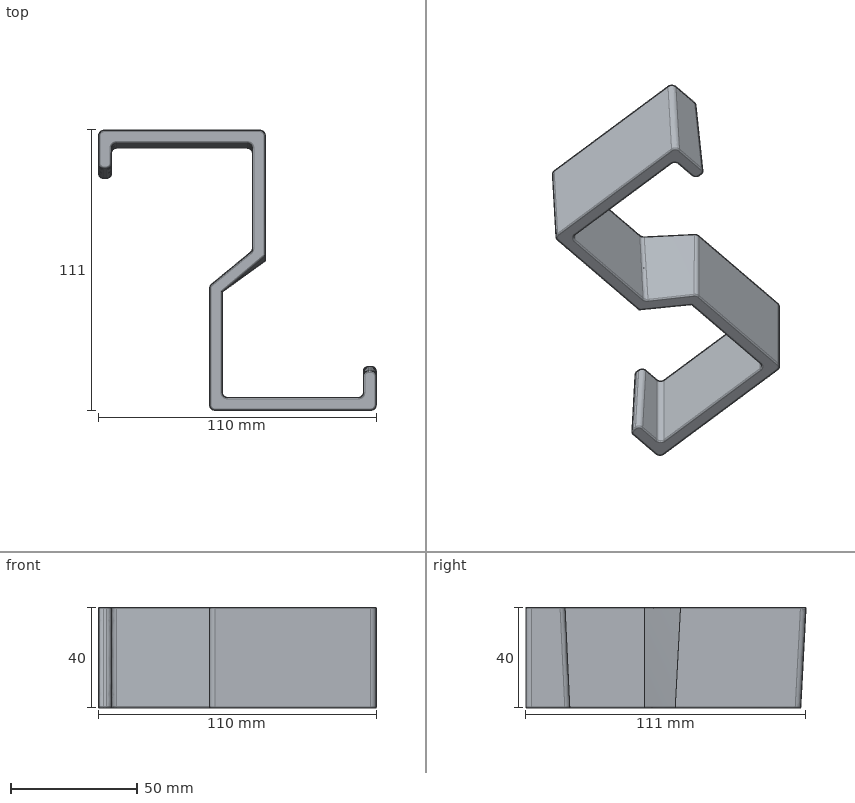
import cadquery as cq

LENGTH_X = 110.0
LENGTH_Y = 111.0
HEIGHT = 40.0
WALL = 5.1
CHANNEL_WIDTH = 66.0

UPPER_LIP_DEPTH = 15.1
LOWER_LIP_HEIGHT = 15.5
BEND_INNER_UPPER_Y = 63.3
BEND_OUTER_UPPER_Y = 61.3
BEND_OUTER_LOWER_Y = 49.3
BEND_INNER_LOWER_Y = 46.9

UPPER_WALL_DRAFT = 1.9
UPPER_LIP_DRAFT = 3.7
LOWER_LIP_DRAFT = 1.7

CORNER_RADIUS = 2.2
INNER_RADIUS = 2.0
BEND_RADIUS = 2.2
TIP_RADIUS = 2.0
RIM_RADIUS = 0.5

LOWER_LEFT_X = LENGTH_X - CHANNEL_WIDTH


def profile_points(draft):
    """Sharp outline at a level; draft is 0 at the top and 1 at the bottom."""
    back_y = LENGTH_Y - draft * UPPER_WALL_DRAFT
    upper_tip_y = LENGTH_Y - UPPER_LIP_DEPTH - draft * UPPER_LIP_DRAFT
    lower_tip_y = LOWER_LIP_HEIGHT + draft * LOWER_LIP_DRAFT
    bend_shift = draft * UPPER_WALL_DRAFT
    return [
        (0, back_y),
        (0, upper_tip_y),
        (WALL, upper_tip_y),
        (WALL, back_y - WALL),
        (CHANNEL_WIDTH - WALL, back_y - WALL),
        (CHANNEL_WIDTH - WALL, BEND_INNER_UPPER_Y - bend_shift),
        (LOWER_LEFT_X, BEND_OUTER_LOWER_Y),
        (LOWER_LEFT_X, 0),
        (LENGTH_X, 0),
        (LENGTH_X, lower_tip_y),
        (LENGTH_X - WALL, lower_tip_y),
        (LENGTH_X - WALL, WALL),
        (LOWER_LEFT_X + WALL, WALL),
        (LOWER_LEFT_X + WALL, BEND_INNER_LOWER_Y),
        (CHANNEL_WIDTH, BEND_OUTER_UPPER_Y - bend_shift),
        (CHANNEL_WIDTH, back_y),
    ]


OUTER_CORNERS = (0, 7, 8, 15)
TIP_CORNERS = (1, 2, 9, 10)
INNER_CORNERS = (3, 4, 11, 12)
BEND_CORNERS = (5, 6)


def make_band():
    """Ruled band between the bottom and top outlines."""
    bottom = cq.Workplane("XY").polyline(profile_points(1.1)).close()
    top = bottom.workplane(offset=HEIGHT).polyline(profile_points(0)).close()
    return top.loft(ruled=True)


def round_corners(band, corners, radius):
    """Round the upright edges that run through the given outline corners."""
    midpoints = profile_points(0.5)
    edges = []
    for corner in corners:
        x, y = midpoints[corner]
        nearest = band.edges(cq.NearestToPointSelector((x, y, HEIGHT / 2)))
        edges.append(nearest.val())
    return band.newObject(edges).fillet(radius)


band = make_band()
band = round_corners(band, OUTER_CORNERS, CORNER_RADIUS)
band = round_corners(band, TIP_CORNERS, TIP_RADIUS)
band = round_corners(band, INNER_CORNERS, INNER_RADIUS)
band = round_corners(band, BEND_CORNERS, BEND_RADIUS)
result = band.faces("<Z or >Z").edges().fillet(RIM_RADIUS)